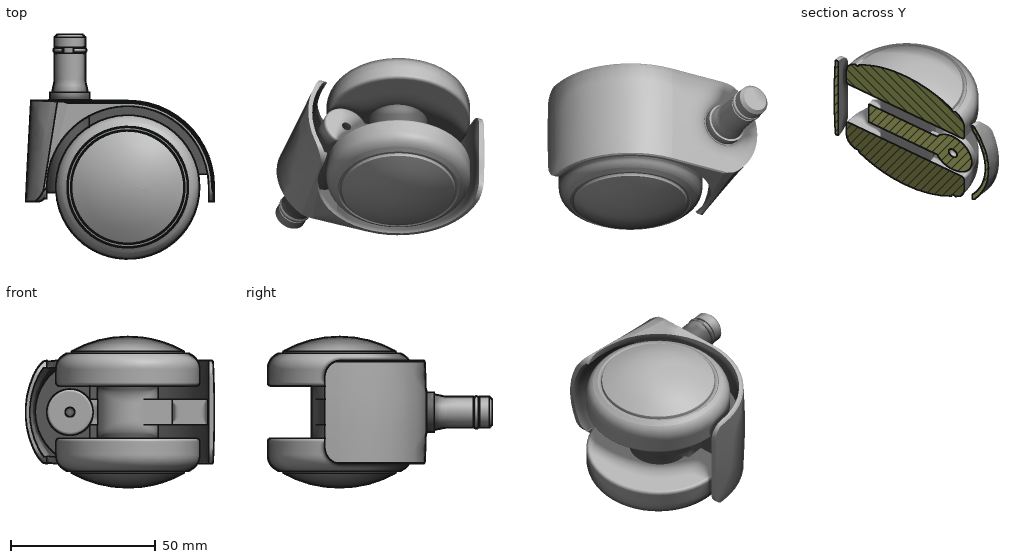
import cadquery as cq
import math


wheel_radius = 24.95
wheel_inner_face = 9.05
inner_edge_fillet = 1.2
tread_end = 15.05
shoulder_radius = 22.7
shoulder_height = 19.5
groove_outer_radius = 21.05
rim_height = 20.5
groove_inner_radius = 19.5
groove_taper = 0.3
groove_floor = 20.2
dome_edge_height = 21.1
dome_top = 52.5 / 2

arch_radius = 28.1
crown_radius = 30.1
crown_drop = 0.5
edge_bevel = 0.5
side_half = 35.95 / 2
skirt_bottom = -5.1
skirt_corner_radius = 5.7

nose_top_tip = -33.6
nose_top_arc_end = (-24.3, 16.9)
nose_top_side_start = -20.5
nose_bottom_tip = -35.5
nose_bottom_arc_end = (-29.9, 17.7)
nose_bottom_side_start = -29.2

cavity_half = 15.45
cavity_end = -13.1
cavity_top_tip = -32.05
cavity_top_side_start = -23.9
cavity_bottom_tip = -34.0
cavity_bottom_side_start = -29.25
cavity_ceiling = math.sqrt(arch_radius**2 - cavity_end**2)

web_half = 4.45
web_left_bottom = -0.6
web_right_bottom = 4.45
hub_radius = 10.5
hub_centre = 0.8
gusset_start = 5.7
gusset_end = 15.5

stem_x = -20.05
stem_top = 53.05
stem_radius = 5.45
stem_chamfer = 1.1
blend_top = 37.3
cone_top = 34.9
cone_top_radius = 5.85
cone_base_radius = 6.25
collar_radius = 6.95
collar_top = 32.9
flange_radius = 7.4
flange_height = 0.15
socket_radius = 8.0
socket_bottom = -2.0
socket_fillet = 1.0
socket_hole_radius = 1.6
socket_hole_depth = 3.9

ring_height = 47.5
ring_section_radius = 0.8
ring_centre_radius = 5.0
ring_groove_width = 2.2
ring_groove_radius = 4.7
ring_gap_angle = 41.0
ring_gap_tilt = 6.5


def make_wheel():
    """The wheel on the +Z side: tread, round shoulder, ring groove and domed cover."""
    shoulder_inset = wheel_radius - shoulder_radius
    shoulder_rise = shoulder_height - tread_end
    arc_radius = (shoulder_inset**2 + shoulder_rise**2) / (2 * shoulder_inset)
    half_sweep = math.asin(shoulder_rise / arc_radius) / 2
    shoulder_middle = (
        wheel_radius - arc_radius + arc_radius * math.cos(half_sweep),
        tread_end + arc_radius * math.sin(half_sweep),
    )

    dome_rise = dome_top - dome_edge_height
    dome_radius = (groove_inner_radius**2 + dome_rise**2) / (2 * dome_rise)
    dome_middle_radius = groove_inner_radius / 2
    dome_middle_height = dome_top - dome_radius + math.sqrt(dome_radius**2 - dome_middle_radius**2)

    return (
        cq.Workplane("XZ")
        .moveTo(0, wheel_inner_face)
        .lineTo(wheel_radius - inner_edge_fillet, wheel_inner_face)
        .radiusArc((wheel_radius, wheel_inner_face + inner_edge_fillet), -inner_edge_fillet)
        .lineTo(wheel_radius, tread_end)
        .threePointArc(shoulder_middle, (shoulder_radius, shoulder_height))
        .lineTo(groove_outer_radius, rim_height)
        .lineTo(groove_outer_radius - groove_taper, groove_floor)
        .lineTo(groove_inner_radius + groove_taper, groove_floor)
        .lineTo(groove_inner_radius, dome_edge_height)
        .threePointArc((dome_middle_radius, dome_middle_height), (0, dome_top))
        .close()
        .revolve(360, (0, 0, 0), (0, 1, 0))
    )


def crowned_section(plane, inner_level):
    """Shell section: first axis is the distance from the wheel axis, second axis is Z."""
    bevel_level = crown_radius - crown_drop
    bevel_start = side_half - edge_bevel
    return (
        cq.Workplane(plane)
        .moveTo(inner_level, -side_half)
        .lineTo(bevel_level - edge_bevel, -side_half)
        .lineTo(bevel_level, -bevel_start)
        .threePointArc((crown_radius, 0), (bevel_level, bevel_start))
        .lineTo(bevel_level - edge_bevel, side_half)
        .lineTo(inner_level, side_half)
        .close()
    )


def nose_block():
    """Ruled loft between the bottom and top outlines of the nose, reaching back to x = 0."""
    bottom_x, bottom_z = nose_bottom_arc_end
    top_x, top_z = nose_top_arc_end
    return (
        cq.Workplane("XZ", origin=(0, skirt_bottom, 0))
        .moveTo(0, side_half)
        .lineTo(nose_bottom_side_start, side_half)
        .lineTo(bottom_x, bottom_z)
        .threePointArc((nose_bottom_tip, 0), (bottom_x, -bottom_z))
        .lineTo(nose_bottom_side_start, -side_half)
        .lineTo(0, -side_half)
        .close()
        .workplane(offset=skirt_bottom - crown_radius)
        .moveTo(0, side_half)
        .lineTo(nose_top_side_start, side_half)
        .lineTo(top_x, top_z)
        .threePointArc((nose_top_tip, 0), (top_x, -top_z))
        .lineTo(nose_top_side_start, -side_half)
        .lineTo(0, -side_half)
        .close()
        .loft(ruled=True)
    )


def nose_cavity():
    """Ruled loft of the hollow under the nose, open at the bottom."""
    return (
        cq.Workplane("XZ", origin=(0, skirt_bottom, 0))
        .moveTo(cavity_end, cavity_half)
        .lineTo(cavity_bottom_side_start, cavity_half)
        .threePointArc((cavity_bottom_tip, 0), (cavity_bottom_side_start, -cavity_half))
        .lineTo(cavity_end, -cavity_half)
        .close()
        .workplane(offset=skirt_bottom - cavity_ceiling)
        .moveTo(cavity_end, cavity_half)
        .lineTo(cavity_top_side_start, cavity_half)
        .threePointArc((cavity_top_tip, 0), (cavity_top_side_start, -cavity_half))
        .lineTo(cavity_end, -cavity_half)
        .close()
        .loft(ruled=True)
    )


def make_shell():
    """Crowned cover over the wheels with the nose at one end and a lip at the other."""
    rear = crowned_section("YZ", skirt_bottom).extrude(nose_bottom_tip).intersect(nose_block())
    quarter = crowned_section("XZ", 0).revolve(90, (0, 0, 0), (0, 1, 0))
    lip = crowned_section("XZ", 0).extrude(-skirt_bottom)
    shell = rear.union(quarter).union(lip)

    width = 2 * side_half
    arch = cq.Workplane("XY").circle(arch_radius).extrude(side_half, both=True)
    slot = cq.Workplane("XY").box(2 * arch_radius, -2 * skirt_bottom, width)
    shell = shell.cut(arch).cut(slot.translate((0, skirt_bottom, 0))).cut(nose_cavity())

    height = crown_radius - skirt_bottom
    length = crown_radius - nose_bottom_tip
    rounded = (
        cq.Workplane("XY")
        .box(length, height, width)
        .edges("<Y and |X")
        .fillet(skirt_corner_radius)
        .translate(((crown_radius + nose_bottom_tip) / 2, (crown_radius + skirt_bottom) / 2, 0))
    )
    return shell.intersect(rounded)


def make_web():
    """Central web from the socket boss across the arch, with the hub and its tangent gusset."""
    join_radius = (arch_radius + crown_radius) / 2
    disc = cq.Workplane("XY").circle(join_radius).extrude(web_half, both=True)

    hub_drop = math.sqrt(hub_radius**2 - gusset_start**2)
    gusset_slope = gusset_start / hub_drop
    gusset_start_y = hub_centre - hub_drop
    gusset_end_y = gusset_start_y + gusset_slope * (gusset_end - gusset_start)
    outline = (
        cq.Workplane("XY")
        .moveTo(stem_x, web_left_bottom)
        .lineTo(0, web_left_bottom)
        .lineTo(gusset_start, gusset_start_y)
        .lineTo(gusset_end, gusset_end_y)
        .lineTo(gusset_end, web_right_bottom)
        .lineTo(join_radius, web_right_bottom)
        .lineTo(join_radius, join_radius)
        .lineTo(stem_x, join_radius)
        .close()
        .extrude(web_half, both=True)
    )
    hub = (
        cq.Workplane("XY")
        .moveTo(-hub_radius, hub_centre)
        .threePointArc((0, hub_centre - hub_radius), (hub_radius, hub_centre))
        .close()
        .extrude(wheel_inner_face, both=True)
    )
    return outline.intersect(disc).union(hub)


def make_socket():
    """Boss below the stem, reaching up into the solid top of the shell."""
    boss_top = (cavity_ceiling + crown_radius) / 2
    return (
        cq.Workplane("XZ", origin=(stem_x, socket_bottom, 0))
        .circle(socket_radius)
        .extrude(socket_bottom - boss_top)
        .faces("<Y")
        .edges()
        .fillet(socket_fillet)
    )


def make_socket_hole():
    return (
        cq.Workplane("XZ", origin=(stem_x, socket_bottom, 0))
        .circle(socket_hole_radius)
        .extrude(-socket_hole_depth)
    )


def make_stem():
    """Turned stem with a chamfered end, ring groove, flared cone, collar and thin flange."""
    groove_low = ring_height - ring_groove_width / 2
    groove_high = ring_height + ring_groove_width / 2
    blend_middle = (
        stem_radius + (cone_top_radius - stem_radius) / 4,
        (blend_top + cone_top) / 2,
    )
    return (
        cq.Workplane("XY", origin=(stem_x, 0, 0))
        .moveTo(0, cavity_ceiling)
        .lineTo(flange_radius, cavity_ceiling)
        .lineTo(flange_radius, crown_radius + flange_height)
        .lineTo(collar_radius, crown_radius + flange_height)
        .lineTo(collar_radius, collar_top)
        .lineTo(cone_base_radius, collar_top)
        .lineTo(cone_top_radius, cone_top)
        .threePointArc(blend_middle, (stem_radius, blend_top))
        .lineTo(stem_radius, groove_low)
        .lineTo(ring_groove_radius, groove_low)
        .lineTo(ring_groove_radius, groove_high)
        .lineTo(stem_radius, groove_high)
        .lineTo(stem_radius, stem_top - stem_chamfer)
        .lineTo(stem_radius - stem_chamfer, stem_top)
        .lineTo(0, stem_top)
        .close()
        .revolve(360, (0, 0, 0), (0, 1, 0))
    )


def make_snap_ring():
    """Round-wire ring seated in the stem groove, open on its upper side."""
    ring = (
        cq.Workplane("XY")
        .center(ring_centre_radius, 0)
        .circle(ring_section_radius)
        .revolve(360 - ring_gap_angle, (-ring_centre_radius, 0, 0), (-ring_centre_radius, 1, 0))
    )
    start_turn = ring_gap_angle / 2 - ring_gap_tilt - 90
    return ring.rotate((0, 0, 0), (0, 1, 0), start_turn).translate((stem_x, ring_height, 0))


def make_housing():
    housing = make_shell().union(make_web()).union(make_socket())
    housing = housing.cut(make_socket_hole())
    return housing.union(make_stem()).union(make_snap_ring())


housing = make_housing()

upper_wheel = make_wheel()
wheels = []
for wheel in (upper_wheel, upper_wheel.mirror("XY")):
    wheels.append(wheel.val())

result = cq.Compound.makeCompound([housing.val(), *wheels])